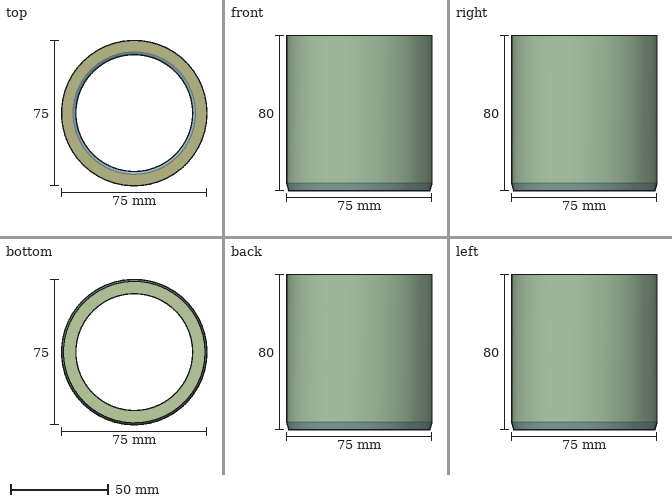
import cadquery as cq
import math

length = 80.0
outer_diameter = 75.0
bore_diameter = 60.0
mouth_radius = 1.5
lead_in_height = 4.0
lead_in_angle = 15.0

lead_in_inset = lead_in_height * math.tan(math.radians(lead_in_angle))

sleeve = (
    cq.Workplane("XY")
    .circle(outer_diameter / 2)
    .circle(bore_diameter / 2)
    .extrude(length)
)

outer_edge = cq.selectors.RadiusNthSelector(-1)
bottom_face = sleeve.faces("<Z")
tapered = bottom_face.edges(outer_edge).chamfer(lead_in_height, lead_in_inset)

bore_edge = cq.selectors.RadiusNthSelector(0)
result = tapered.faces(">Z").edges(bore_edge).fillet(mouth_radius)